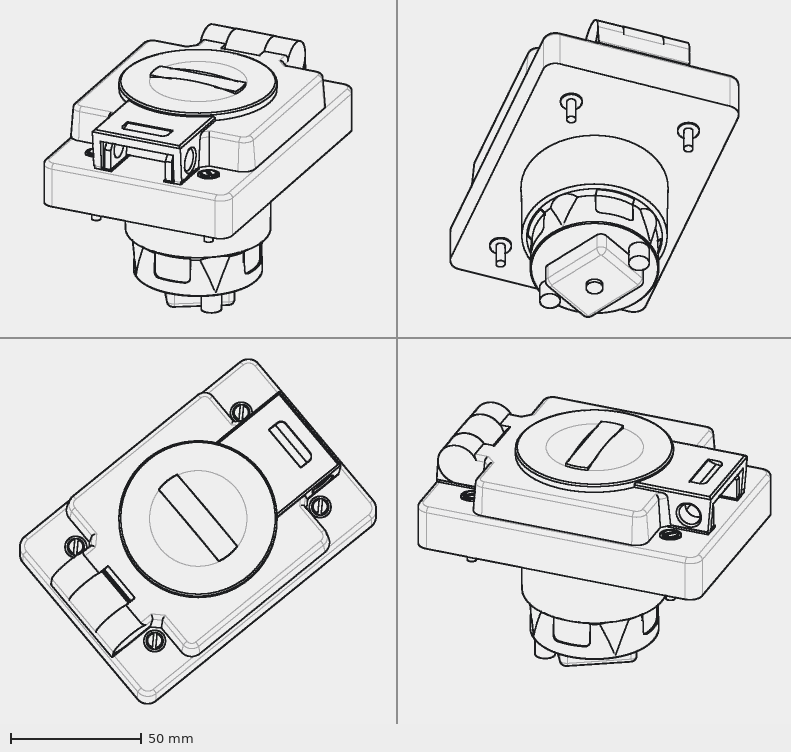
import cadquery as cq

plate_width = 79.4
plate_length = 117.5
plate_height = 17.7
plate_corner = 5.0
edge_round = 1.8

cover_bottom = 18.8
cover_top = 32.4
cover_half_width = 38.9
cover_half_length = 36.2
cover_corner = 5.0
cover_draft = 4.3
shoulder_half_width = 25.8
shoulder_half_length = 40.0
shoulder_chamfer = 8.0
gasket_diameter = 68.0
pad_inset = 0.4

lid_diameter = 60.8
lid_top = 35.6
lid_chamfer = 0.7
dome_diameter = 37.5
dome_height = 2.1
band_width = 9.2
band_height = 1.0

tab_half_width = 18.7
hinge_y = 49.1
hinge_z = 27.1
hinge_radius = 8.3
hinge_foot_y = 58.0
hinge_inner_y = 38.1
knuckle_half_width = 8.1
knuckle_growth = 0.1
knuckle_gap_y = 38.2
knuckle_gap_depth = 5.9
hinge_foot_inset = 0.1

latch_top = 34.3
latch_front_top = -55.9
latch_front_bottom = -54.6
latch_back = -37.8
latch_chamfer = 0.8
window_half_width = 15.4
window_top = 30.0
latch_hole_diameter = 8.7
latch_hole_flare = 0.8
latch_hole_y = -46.8
latch_hole_z = 24.9
post_inner_x = 11.6
post_outer_x = 14.2
post_shoulder_z = 26.2
post_front = -54.3
post_slope_depth = 2.9
post_setback = 1.4
foot_lip = 0.5
foot_thickness = 0.5
slot_half_width = 9.6
slot_back = -43.2
slot_middle = -46.5
slot_front = -49.8
slot_lip = 0.5
slot_depth = 1.6
slot_corner = 2.3

screw_x = 23.8
screw_y = 41.2
screw_head_diameter = 6.5
screw_head_height = 0.7
screw_head_chamfer = 0.5
screw_recess_diameter = 8.3
screw_recess_depth = 0.5
screw_slot_width = 1.3
screw_slot_depth = 0.7
screw_slot_turn = -45
screw_shank_diameter = 3.5
screw_shank_bottom = -10.1
washer_diameter = 8.3
washer_thickness = 0.6

housing_top_radius = 28.3
housing_radius = 28.0
housing_bottom = -26.3
housing_lip_z = -27
housing_lip_radius = 26.1
collar_top = -28.9
collar_top_radius = 24.3
collar_radius = 24.8
collar_bottom = -44.2
collar_chamfer = 0.5
rib_count = 4
rib_angle = 41
rib_tip_z = -43.8
rib_tip_distance = 24.7
rib_top_distance = 16.7
rib_radius = 10.8
panel_count = 4
panel_width = 15.2
panel_bottom = -38.6
panel_corner = 2.1
panel_distance = 24.0
panel_shoulder = -28.7
panel_shoulder_flare = 1.6

block_length = 29.8
block_width = 26.2
block_turn = 30
block_corner = 2.6
block_bottom = -53.3
block_edge_round = 2.2
lug_diameter = 7.9
lug_x = 12.8
lug_y = 15.3
lug_bottom = -51.7
stub_diameter = 6.5
stub_bottom = -54.9


def box(x0, x1, y0, y1, z0, z1):
    return cq.Workplane("XY").box(x1 - x0, y1 - y0, z1 - z0, centered=False).translate((x0, y0, z0))


def cylinder(diameter, z0, z1, x=0, y=0):
    return cq.Workplane("XY", origin=(x, y, z0)).circle(diameter / 2).extrude(z1 - z0)


def side_prism(points, half_width):
    """Prism along X, centred on X = 0, from a (Y, Z) outline."""
    return cq.Workplane("YZ").polyline(points).close().extrude(half_width, both=True)


def make_plate():
    plate = cq.Workplane("XY").rect(plate_width, plate_length).extrude(plate_height)
    return plate.edges("|Z").fillet(plate_corner).faces(">Z").edges().fillet(edge_round)


def make_cover():
    height = cover_top - cover_bottom
    base = cq.Workplane("XY", origin=(0, 0, cover_bottom))
    main = base.sketch().rect(2 * cover_half_width, 2 * cover_half_length)
    main = main.vertices().fillet(cover_corner).finalize().extrude(height, taper=cover_draft)
    shoulder = base.sketch().rect(2 * shoulder_half_width, 2 * shoulder_half_length)
    shoulder = shoulder.vertices().chamfer(shoulder_chamfer).finalize().extrude(height, taper=cover_draft)
    neck = box(-tab_half_width, tab_half_width, 0, hinge_y, cover_bottom, cover_top)
    cover = main.union(shoulder).union(neck).faces(">Z").edges().fillet(edge_round)
    return cover.union(cylinder(gasket_diameter, plate_height, cover_bottom))


def make_hinge():
    barrel = (cq.Workplane("YZ").center(hinge_y, hinge_z)
              .circle(hinge_radius).extrude(tab_half_width, both=True))
    foot = side_prism([
        (hinge_y, cover_bottom),
        (hinge_foot_y, cover_bottom),
        (hinge_y + hinge_radius, hinge_z),
        (hinge_y, hinge_z),
    ], tab_half_width - hinge_foot_inset)
    pad_half_width = tab_half_width - pad_inset
    pad = box(-pad_half_width, pad_half_width, hinge_inner_y, hinge_foot_y, plate_height, cover_bottom)
    return barrel.union(foot).union(pad)


def make_knuckle():
    return (cq.Workplane("YZ").center(hinge_y, hinge_z)
            .circle(hinge_radius + knuckle_growth).extrude(knuckle_half_width, both=True))


def make_knuckle_gap():
    """Cutter for the clearance between the middle knuckle and the bevelled cover edge."""
    floor = cover_top - knuckle_gap_depth
    return side_prism([
        (knuckle_gap_y, cover_top),
        (knuckle_gap_y + edge_round, cover_top - edge_round),
        (knuckle_gap_y + edge_round, floor),
        (hinge_y, floor),
        (hinge_y, cover_top),
    ], knuckle_half_width)


def make_lid():
    lid = cylinder(lid_diameter, cover_top - edge_round, lid_top).faces(">Z").edges().chamfer(lid_chamfer)
    dome_radius = dome_diameter / 2
    sphere_radius = (dome_radius ** 2 + dome_height ** 2) / (2 * dome_height)
    sphere = cq.Workplane("XY").sphere(sphere_radius)
    sphere = sphere.translate((0, 0, lid_top + dome_height - sphere_radius))
    dome = sphere.intersect(cylinder(dome_diameter, lid_top - edge_round, lid_top + 2 * dome_height))
    lane = box(-lid_diameter, lid_diameter, -band_width / 2, band_width / 2, lid_top, lid_top + dome_height)
    band = lane.intersect(cylinder(dome_diameter, lid_top, lid_top + band_height))
    return lid.union(dome).cut(lane).union(band)


def make_latch():
    arms = side_prism([
        (latch_back, cover_bottom),
        (latch_front_bottom, cover_bottom),
        (latch_front_top, latch_top),
        (latch_back, latch_top),
    ], tab_half_width)
    strap = box(-tab_half_width, tab_half_width, latch_back, 0, cover_top - edge_round, latch_top)
    latch = arms.union(strap).faces(">Z").edges("<Y or <X or >X").chamfer(latch_chamfer)
    window = box(-window_half_width, window_half_width, latch_front_top, latch_back,
                 cover_bottom, window_top)
    latch = latch.cut(window).cut(make_latch_slot())
    for side in (-1, 1):
        latch = latch.union(make_latch_post(side))
        inner, outer = sorted((side * window_half_width, side * (tab_half_width - pad_inset)))
        pad = box(inner, outer, latch_front_bottom, latch_back, plate_height, cover_bottom)
        latch = latch.union(pad).union(make_latch_foot(side))
    return latch


def make_latch_post(side):
    """Wall lining one latch arm; its front edge slopes back under the strap."""
    half_thickness = (post_outer_x - post_inner_x) / 2
    post = side_prism([
        (latch_back, plate_height),
        (post_front, plate_height),
        (post_front, post_shoulder_z),
        (post_front + post_slope_depth, window_top),
        (latch_back, window_top),
    ], half_thickness).translate((side * (post_inner_x + half_thickness), 0, 0))
    inner, outer = sorted((side * post_outer_x, side * window_half_width))
    filler = box(inner, outer, post_front + post_setback, latch_back, plate_height, window_top)
    return post.union(filler)


def make_latch_foot(side):
    """Thin sole under one lining wall, standing slightly proud of it."""
    inner, outer = sorted((side * (post_inner_x - foot_lip), side * window_half_width))
    return box(inner, outer, post_front - foot_lip, latch_back, plate_height, plate_height + foot_thickness)


def make_latch_slot():
    floor = latch_top - slot_depth
    slot = side_prism([
        (slot_back, latch_top),
        (slot_back, latch_top - slot_lip),
        (slot_middle, floor),
        (slot_front, floor),
        (slot_front, latch_top),
    ], slot_half_width)
    return slot.edges("|Z and <Y").fillet(slot_corner)


def make_latch_hole():
    """Padlock hole through both arms, flared at each outer face."""
    radius = latch_hole_diameter / 2
    bore = (cq.Workplane("YZ").center(latch_hole_y, latch_hole_z)
            .circle(radius).extrude(tab_half_width, both=True))
    for side in (-1, 1):
        flare = cq.Solid.makeCone(
            radius + latch_hole_flare, radius, latch_hole_flare,
            pnt=cq.Vector(side * tab_half_width, latch_hole_y, latch_hole_z), dir=cq.Vector(-side, 0, 0))
        bore = bore.union(cq.Workplane(flare))
    return bore


def add_screw(body, x, y):
    recess = cylinder(screw_recess_diameter, plate_height - screw_recess_depth, plate_height, x, y)
    head_top = plate_height + screw_head_height
    head = cylinder(screw_head_diameter, plate_height - screw_recess_depth, head_top, x, y)
    head = head.faces(">Z").edges().chamfer(screw_head_chamfer)
    slot = cq.Workplane("XY").box(screw_head_diameter, screw_slot_width, 2 * screw_slot_depth)
    slot = slot.rotate((0, 0, 0), (0, 0, 1), screw_slot_turn).translate((x, y, head_top))
    shank = cylinder(screw_shank_diameter, screw_shank_bottom, 0, x, y)
    washer = cylinder(washer_diameter, -washer_thickness, 0, x, y)
    return body.cut(recess).union(head.cut(slot)).union(shank).union(washer)


def make_housing():
    profile = [
        (0, 0),
        (housing_top_radius, 0),
        (housing_radius, housing_bottom),
        (housing_lip_radius, housing_lip_z),
        (collar_top_radius, collar_top),
        (collar_radius, collar_bottom + collar_chamfer),
        (collar_radius - collar_chamfer, collar_bottom),
        (0, collar_bottom),
    ]
    housing = cq.Workplane("XZ").polyline(profile).close().revolve(360, (0, 0), (0, 1))
    for index in range(panel_count):
        housing = housing.cut(make_panel().rotate((0, 0, 0), (0, 0, 1), index * 360 / panel_count))
    for index in range(rib_count):
        turn = rib_angle + index * 360 / rib_count
        housing = housing.union(make_rib().rotate((0, 0, 0), (0, 0, 1), turn))
    return housing


def make_panel():
    """Cutter for one shallow curved recess in the collar, on the -Y side."""
    panel = box(-panel_width / 2, panel_width / 2, -housing_radius, 0,
                panel_bottom, housing_lip_z)
    panel = panel.edges("|Y and <Z").fillet(panel_corner)
    shoulder = cq.Solid.makeCone(
        panel_distance, panel_distance + panel_shoulder_flare, housing_lip_z - panel_shoulder,
        pnt=cq.Vector(0, 0, panel_shoulder))
    return panel.cut(cylinder(2 * panel_distance, panel_bottom, panel_shoulder)).cut(cq.Workplane(shoulder))


def make_rib():
    """Tapered rib on the -Y side that fades into the foot of the collar."""
    rise = housing_bottom - rib_tip_z
    axis = cq.Vector(0, rib_tip_distance - rib_top_distance, rise)
    tip = cq.Vector(0, -rib_tip_distance, rib_tip_z)
    return cq.Workplane(cq.Solid.makeCone(0, rib_radius, axis.Length, pnt=tip, dir=axis))


def make_contact_block():
    block = (cq.Workplane("XY", origin=(0, 0, block_bottom))
             .rect(block_width, block_length).extrude(collar_bottom - block_bottom)
             .edges("|Z").fillet(block_corner)
             .faces("<Z").edges().fillet(block_edge_round)
             .rotate((0, 0, 0), (0, 0, 1), block_turn))
    for side in (-1, 1):
        block = block.union(cylinder(lug_diameter, lug_bottom, collar_bottom, side * lug_x, -side * lug_y))
    return block.union(cylinder(stub_diameter, stub_bottom, block_bottom))


def add_screws(body):
    for x in (-screw_x, screw_x):
        for y in (-screw_y, screw_y):
            body = add_screw(body, x, y)
    return body


body = make_plate().union(make_housing()).union(make_contact_block())
body = body.union(make_cover()).union(make_hinge()).cut(make_knuckle_gap()).union(make_knuckle())
body = body.union(make_latch()).cut(make_latch_hole()).union(make_lid())
result = add_screws(body)